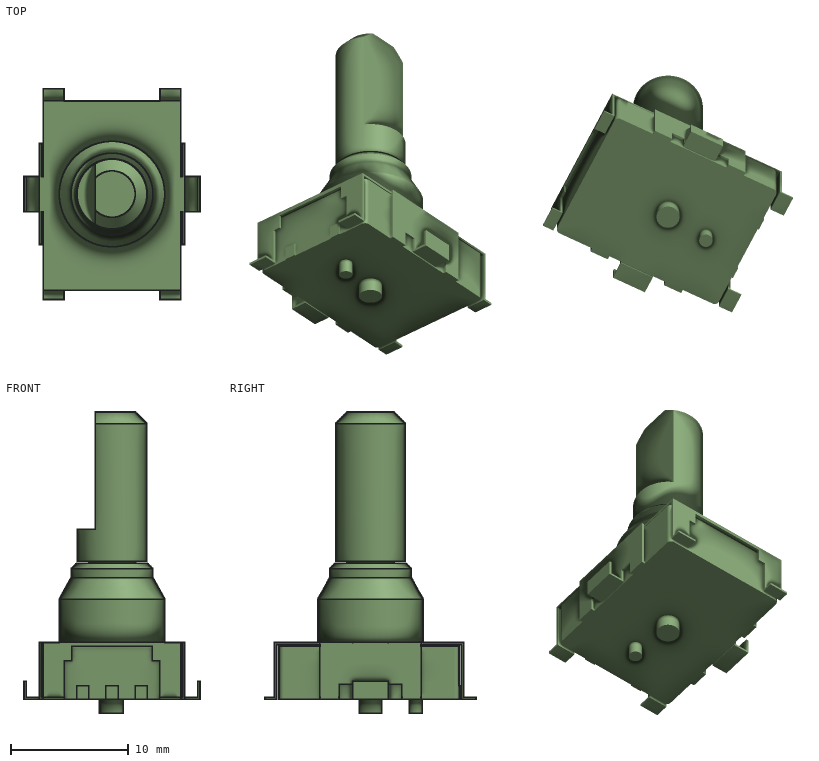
import cadquery as cq


PIN_LENGTH = 1.18
SHAFT_TOP = 25.7 - PIN_LENGTH

SHAFT_RADIUS = 2.98
SHAFT_CHAMFER = 1.0
SHAFT_BOTTOM = 11.77
NECK_RADIUS = 2.0
FLAT_OFFSET = 1.45
FLAT_LENGTH = 10.0

BUSHING_RADIUS = 4.5
BUSHING_TOP = 11.62
COLLAR_RADIUS = 3.5
COLLAR_CHAMFER = 0.5
COLLAR_BOTTOM = 10.35
CONE_BOTTOM = 8.55

SHEET = 0.2
FRAME_TOP = 4.85
FRAME_WIDTH = 11.75
FRAME_DEPTH = 16.17
BODY_CENTER_Y = -0.13
LEG_WIDTH = 1.8
LEG_SHOULDER_WIDTH = 2.45
LEG_SHOULDER_HEIGHT = 3.3
FRAME_RAIL_HEIGHT = 0.33
FEET_SPAN = 18

WALL_SPAN = 12.4
WALL_WIDTH = 8.64
WINDOW_WIDTH = 5.35
WINDOW_HEIGHT = 1.3
TAB_WIDTH = 3.03
TAB_SPAN = 15.0
TAB_HEIGHT = 1.57

HOUSING_DEPTH = 15.37
HOUSING_WIDTH = FRAME_WIDTH
HOUSING_CORNER_RADIUS = 0.4
PLATE_GAP = 0.1
HOUSING_TOP = FRAME_TOP - SHEET - PLATE_GAP
CENTER_PIN_RADIUS = 0.98
KEY_PIN_RADIUS = 0.57
KEY_PIN_X = -0.51
KEY_PIN_Y = 3.85

TERMINAL_WIDTH = 1.03
TERMINAL_HEIGHT = 1.15
TERMINAL_THICKNESS = 0.2
TERMINAL_PITCH = 2.5
REAR_PROJECTION = 0.1

FRAME_FRONT = BODY_CENTER_Y - FRAME_DEPTH / 2
FRAME_BACK = BODY_CENTER_Y + FRAME_DEPTH / 2
HOUSING_FRONT = BODY_CENTER_Y - HOUSING_DEPTH / 2
HOUSING_BACK = BODY_CENTER_Y + HOUSING_DEPTH / 2


def block(x_range, y_range, z_range):
    """Box between two limits on each axis."""
    (x0, x1), (y0, y1), (z0, z1) = x_range, y_range, z_range
    return cq.Workplane().box(x1 - x0, y1 - y0, z1 - z0, centered=False).translate((x0, y0, z0))


def cylinder(radius, bottom, top, center=(0, 0)):
    """Vertical cylinder between two heights."""
    return cq.Workplane(origin=(*center, bottom)).circle(radius).extrude(top - bottom)


def make_shaft():
    """D-shaft with a chamfered tip and a neck that stands on the bushing."""
    shaft = cylinder(SHAFT_RADIUS, SHAFT_BOTTOM, SHAFT_TOP).faces(">Z").chamfer(SHAFT_CHAMFER)
    shaft = shaft.union(cylinder(NECK_RADIUS, BUSHING_TOP, SHAFT_BOTTOM))
    flat = block(
        (-SHAFT_RADIUS, -FLAT_OFFSET),
        (-SHAFT_RADIUS, SHAFT_RADIUS),
        (SHAFT_TOP - FLAT_LENGTH, SHAFT_TOP),
    )
    return shaft.cut(flat)


def make_bushing():
    """Turned bushing with a cone and a chamfered collar, standing on the housing."""
    profile = [
        (0, HOUSING_TOP),
        (BUSHING_RADIUS, HOUSING_TOP),
        (BUSHING_RADIUS, CONE_BOTTOM),
        (COLLAR_RADIUS, COLLAR_BOTTOM),
        (COLLAR_RADIUS, BUSHING_TOP - COLLAR_CHAMFER),
        (COLLAR_RADIUS - COLLAR_CHAMFER, BUSHING_TOP),
        (0, BUSHING_TOP),
    ]
    return cq.Workplane("XZ").polyline(profile).close().revolve(360, (0, 0), (0, 1))


def make_end_wall(outer_y, inner_y):
    """Pair of stepped legs, joined by a rail below the top plate."""
    half_width = FRAME_WIDTH / 2
    leg_inner = half_width - LEG_WIDTH
    shoulder_inner = half_width - LEG_SHOULDER_WIDTH
    rail_bottom = FRAME_TOP - FRAME_RAIL_HEIGHT
    y_range = sorted((outer_y, inner_y))
    wall = block((-half_width, half_width), y_range, (0, FRAME_TOP))
    wall = wall.cut(block((-leg_inner, leg_inner), y_range, (0, LEG_SHOULDER_HEIGHT)))
    return wall.cut(block((-shoulder_inner, shoulder_inner), y_range, (0, rail_bottom)))


def make_feet(inner_y, end_y):
    """Two feet bent outward from the legs at one end."""
    half_width = FRAME_WIDTH / 2
    y_range = sorted((inner_y, end_y))
    left_foot = block((-half_width, LEG_WIDTH - half_width), y_range, (0, SHEET))
    return left_foot.union(left_foot.mirror("YZ"))


def make_left_side():
    """Side wall with its bridge to the top plate, its window, turned-in lips and J-shaped tab."""
    wall_outer = -WALL_SPAN / 2
    wall_inner = wall_outer + SHEET
    tab_outer = -TAB_SPAN / 2
    plate_edge = -FRAME_WIDTH / 2
    wall_y = (-WALL_WIDTH / 2, WALL_WIDTH / 2)
    window_y = (-WINDOW_WIDTH / 2, WINDOW_WIDTH / 2)
    tab_y = (-TAB_WIDTH / 2, TAB_WIDTH / 2)

    side = block((wall_outer, wall_inner), wall_y, (0, FRAME_TOP))
    lips = block((wall_outer, plate_edge), wall_y, (0, SHEET))
    window = block((wall_outer, plate_edge), window_y, (0, WINDOW_HEIGHT))
    side = side.union(lips).cut(window)

    strip = block((wall_outer, wall_inner), tab_y, (0, WINDOW_HEIGHT))
    tab_base = block((tab_outer, wall_inner), tab_y, (0, SHEET))
    tab_end = block((tab_outer, tab_outer + SHEET), tab_y, (0, TAB_HEIGHT))
    bridge = block((wall_outer, plate_edge), tab_y, (FRAME_TOP - SHEET, FRAME_TOP))
    return side.union(strip).union(tab_base).union(tab_end).union(bridge)


def make_frame():
    """Bent sheet-metal frame over the housing, with a hole for the bushing."""
    frame = block(
        (-FRAME_WIDTH / 2, FRAME_WIDTH / 2),
        (FRAME_FRONT, FRAME_BACK),
        (FRAME_TOP - SHEET, FRAME_TOP),
    )
    frame = frame.cut(cylinder(BUSHING_RADIUS, FRAME_TOP - SHEET, FRAME_TOP))
    for outer_y, inner_y, end_y in (
        (FRAME_FRONT, FRAME_FRONT + SHEET, -FEET_SPAN / 2),
        (FRAME_BACK, FRAME_BACK - SHEET, FEET_SPAN / 2),
    ):
        frame = frame.union(make_end_wall(outer_y, inner_y))
        frame = frame.union(make_feet(inner_y, end_y))
    left_side = make_left_side()
    return frame.union(left_side).union(left_side.mirror("YZ"))


def make_terminal(center_x, y_range):
    """Flat terminal standing on the seating plane."""
    x_range = (center_x - TERMINAL_WIDTH / 2, center_x + TERMINAL_WIDTH / 2)
    return block(x_range, y_range, (0, TERMINAL_HEIGHT))


def make_terminals():
    """Three terminals flush with the housing front and two that project from its back."""
    front_y = (HOUSING_FRONT, HOUSING_FRONT + TERMINAL_THICKNESS)
    rear_end = HOUSING_BACK + REAR_PROJECTION
    rear_y = (rear_end - TERMINAL_THICKNESS, rear_end)
    front = [make_terminal(step * TERMINAL_PITCH, front_y) for step in (-1, 0, 1)]
    rear = [make_terminal(step * TERMINAL_PITCH, rear_y) for step in (-1, 1)]
    return front + rear


def make_housing(terminals):
    """Moulded block with rounded corners, two locating pins and a pocket for each terminal."""
    housing = block(
        (-HOUSING_WIDTH / 2, HOUSING_WIDTH / 2),
        (HOUSING_FRONT, HOUSING_BACK),
        (0, HOUSING_TOP),
    )
    housing = housing.edges("|Z").fillet(HOUSING_CORNER_RADIUS)
    housing = housing.union(cylinder(CENTER_PIN_RADIUS, -PIN_LENGTH, 0))
    housing = housing.union(cylinder(KEY_PIN_RADIUS, -PIN_LENGTH, 0, (KEY_PIN_X, KEY_PIN_Y)))
    for terminal in terminals:
        housing = housing.cut(terminal)
    return housing


shaft = make_shaft()
bushing = make_bushing()
frame = make_frame()
terminals = make_terminals()
housing = make_housing(terminals)

result = cq.Compound.makeCompound(
    [
        shaft.val(),
        bushing.val(),
        frame.val(),
        housing.val(),
        *[terminal.val() for terminal in terminals],
    ]
)